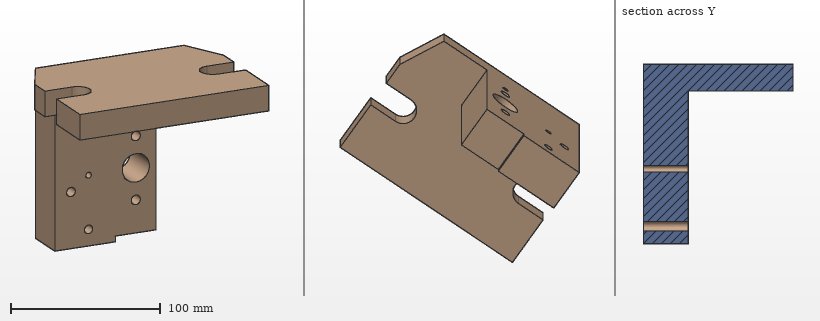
import cadquery as cq

plate_depth = 100.0
plate_width = 140.0
plate_thickness = 18.0
total_height = 120.0
corner_cut_x = 30.0
corner_cut_y = 15.0

slot_width = 18.0
slot_x = 55.0
slot_length = 29.0

leg_thickness = 30.0
leg_y_min = -55.0
leg_y_max = 20.0
relief_width = 30.0
relief_height = 4.0

bore_diameter = 20.0
bore_y = 5.0
bore_z = 50.0
bolt_diameter = 6.7
bolt_spacing = 45.1
pin_diameter = 4.0
upper_pin_diameter = 4.0
upper_pin_z = 85.0
side_pin_y = -30.0
side_hole_diameter = 6.5
side_hole_y = -43.0
side_hole_z = 40.0
lower_hole_diameter = 6.0
lower_hole_z = 11.8


def make_plate():
    """Flat plate with two cut corners and a round-ended slot in each end."""
    half_width = plate_width / 2
    inner_y = half_width - corner_cut_y
    plate_bottom = total_height - plate_thickness
    plate = (
        cq.Workplane("XY", origin=(0, 0, plate_bottom))
        .moveTo(0, -inner_y)
        .lineTo(corner_cut_x, -half_width)
        .lineTo(plate_depth, -half_width)
        .lineTo(plate_depth, half_width)
        .lineTo(corner_cut_x, half_width)
        .lineTo(0, inner_y)
        .close()
        .extrude(plate_thickness)
    )
    slots = (
        cq.Workplane("XY", origin=(slot_x, 0, plate_bottom))
        .pushPoints([(0, -half_width), (0, half_width)])
        .slot2D(2 * slot_length, slot_width, 90)
        .extrude(plate_thickness)
    )
    return plate.cut(slots)


def make_leg():
    """Upright block with a shallow relief along part of its lower edge."""
    leg = cq.Workplane("XY").box(
        leg_thickness, leg_y_max - leg_y_min, total_height, centered=False
    ).translate((0, leg_y_min, 0))
    relief = cq.Workplane("XY").box(
        leg_thickness, relief_width, relief_height, centered=False
    ).translate((0, leg_y_max - relief_width, 0))
    return leg.cut(relief)


def leg_hole(diameter, y, z):
    """Cylinder along X that passes through the whole leg."""
    return cq.Workplane("YZ").center(y, z).circle(diameter / 2).extrude(leg_thickness)


leg_holes = [
    (bore_diameter, bore_y, bore_z),
    (bolt_diameter, bore_y, bore_z + bolt_spacing / 2),
    (bolt_diameter, bore_y, bore_z - bolt_spacing / 2),
    (upper_pin_diameter, bore_y, upper_pin_z),
    (pin_diameter, side_pin_y, bore_z),
    (side_hole_diameter, side_hole_y, side_hole_z),
    (lower_hole_diameter, side_pin_y, lower_hole_z),
]

result = make_plate().union(make_leg())
for diameter, y, z in leg_holes:
    result = result.cut(leg_hole(diameter, y, z))